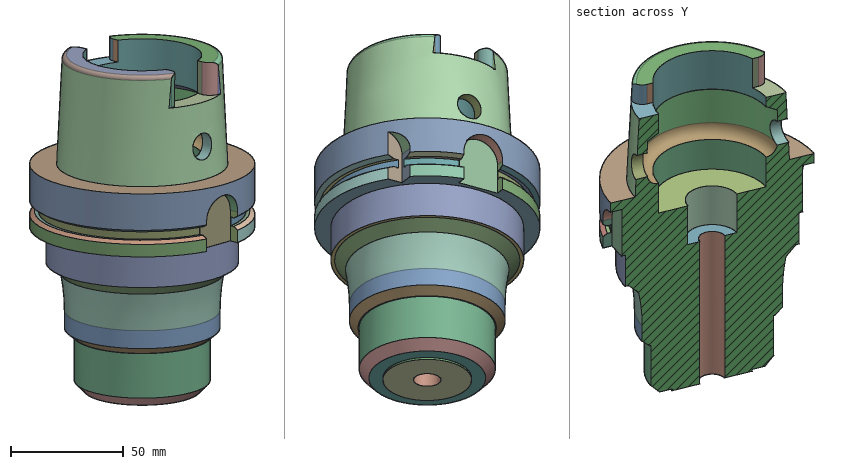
import cadquery as cq
import math

TOTAL_HEIGHT = 155.0
FLANGE_TOP = 105.0
FLANGE_BOTTOM = 76.0

TAPER_BASE_RADIUS = 38.0
TAPER_TOP_RADIUS = 35.5
RIM_FILLET = 2.0

FLANGE_DIAMETER = 100.0
FLANGE_RADIUS = FLANGE_DIAMETER / 2
GROOVE_CENTRE = 85.0
GROOVE_ROOT_RADIUS = 46.0
GROOVE_ROOT_WIDTH = 3.9
GROOVE_LIP_RADIUS = 47.7
GROOVE_LIP_ANGLE = 30.0

COLLAR_RADIUS = 42.8
COLLAR_BOTTOM = 59.8
WAIST_CONE_RADIUS = 41.0
WAIST_TOP_RADIUS = 36.3
WAIST_TOP = 55.0
WAIST_RADIUS = 34.5
WAIST_ARC_BOTTOM = 37.7
WAIST_BOTTOM = 29.5
WAIST_CHAMFER_RADIUS = 30.7
NOSE_TOP = 26.0
NOSE_RADIUS = 30.2
NOSE_CHAMFER_TOP = 5.5
NOSE_END_RADIUS = 25.9
END_RING_RADIUS = 19.7
END_RING_HEIGHT = 1.0

MOUTH_RADIUS = 26.4
MOUTH_DEPTH = 20.0
CAVITY_RADIUS = 31.8
CAVITY_CONE_ANGLE = 30.0
CAVITY_BOTTOM = 109.1
BORE_FLOOR = 93.8
COOLANT_SEAT_RADIUS = 12.0
COOLANT_SEAT_DEPTH = 20.0
THROUGH_RADIUS = 6.0

CROSS_HOLE_RADIUS = 6.0
CROSS_HOLE_HEIGHT = 120.0

NOTCH_HALF_WIDTH = 9.9
NOTCH_CORNER_RADIUS = 5.0
NOTCH_SHOULDER = 32.2
NOTCH_DEPTH_MINUS_X = 10.0
NOTCH_DEPTH_PLUS_X = 15.0

SLOT_HALF_WIDTH = 9.9
SLOT_TOP = 100.0
KEYWAY_FLOOR = 44.5
CORNER_SLOT_FLOOR = 31.6

CLEARANCE = 7.8


def turned_body():
    """Outer shape of the tool holder, turned about Z."""
    root_half = GROOVE_ROOT_WIDTH / 2
    flare = WAIST_TOP_RADIUS - WAIST_RADIUS
    flare_height = WAIST_TOP - WAIST_ARC_BOTTOM
    flare_radius = (flare**2 + flare_height**2) / (2 * flare)
    half_angle = math.asin(flare_height / flare_radius) / 2
    flare_mid = (
        WAIST_RADIUS + flare_radius * (1 - math.cos(half_angle)),
        WAIST_ARC_BOTTOM + flare_radius * math.sin(half_angle),
    )
    lip_rise = (FLANGE_RADIUS - GROOVE_LIP_RADIUS) * math.tan(math.radians(GROOVE_LIP_ANGLE))
    profile = (
        cq.Workplane("XZ")
        .moveTo(0, 0)
        .lineTo(END_RING_RADIUS, 0)
        .lineTo(END_RING_RADIUS, END_RING_HEIGHT)
        .lineTo(NOSE_END_RADIUS, END_RING_HEIGHT)
        .lineTo(NOSE_RADIUS, NOSE_CHAMFER_TOP)
        .lineTo(NOSE_RADIUS, NOSE_TOP)
        .lineTo(WAIST_CHAMFER_RADIUS, NOSE_TOP)
        .lineTo(WAIST_RADIUS, WAIST_BOTTOM)
        .lineTo(WAIST_RADIUS, WAIST_ARC_BOTTOM)
        .threePointArc(flare_mid, (WAIST_TOP_RADIUS, WAIST_TOP))
        .lineTo(WAIST_CONE_RADIUS, COLLAR_BOTTOM)
        .lineTo(COLLAR_RADIUS, COLLAR_BOTTOM)
        .lineTo(COLLAR_RADIUS, FLANGE_BOTTOM)
        .lineTo(FLANGE_RADIUS, FLANGE_BOTTOM)
        .lineTo(FLANGE_RADIUS, GROOVE_CENTRE - root_half - lip_rise)
        .lineTo(GROOVE_LIP_RADIUS, GROOVE_CENTRE - root_half)
        .lineTo(GROOVE_ROOT_RADIUS, GROOVE_CENTRE - root_half)
        .lineTo(GROOVE_ROOT_RADIUS, GROOVE_CENTRE + root_half)
        .lineTo(GROOVE_LIP_RADIUS, GROOVE_CENTRE + root_half)
        .lineTo(FLANGE_RADIUS, GROOVE_CENTRE + root_half + lip_rise)
        .lineTo(FLANGE_RADIUS, FLANGE_TOP)
        .lineTo(TAPER_BASE_RADIUS, FLANGE_TOP)
        .lineTo(TAPER_TOP_RADIUS, TOTAL_HEIGHT)
        .lineTo(0, TOTAL_HEIGHT)
        .close()
    )
    body = profile.revolve(360, (0, 0, 0), (0, 1, 0))
    return body.faces(">Z").edges().fillet(RIM_FILLET)


def bore():
    """Clamping bore with its undercut cavity, coolant seat and through hole."""
    mouth_bottom = TOTAL_HEIGHT - MOUTH_DEPTH
    undercut = CAVITY_RADIUS - MOUTH_RADIUS
    cone_height = undercut * math.tan(math.radians(CAVITY_CONE_ANGLE))
    seat_bottom = BORE_FLOOR - COOLANT_SEAT_DEPTH
    round_mid_offset = undercut * (1 - math.sqrt(0.5))
    profile = (
        cq.Workplane("XZ")
        .moveTo(0, -CLEARANCE)
        .lineTo(THROUGH_RADIUS, -CLEARANCE)
        .lineTo(THROUGH_RADIUS, seat_bottom)
        .lineTo(COOLANT_SEAT_RADIUS, seat_bottom)
        .lineTo(COOLANT_SEAT_RADIUS, BORE_FLOOR)
        .lineTo(MOUTH_RADIUS, BORE_FLOOR)
        .lineTo(MOUTH_RADIUS, CAVITY_BOTTOM)
        .threePointArc(
            (CAVITY_RADIUS - round_mid_offset, CAVITY_BOTTOM + round_mid_offset),
            (CAVITY_RADIUS, CAVITY_BOTTOM + undercut),
        )
        .lineTo(CAVITY_RADIUS, mouth_bottom - cone_height)
        .lineTo(MOUTH_RADIUS, mouth_bottom)
        .lineTo(MOUTH_RADIUS, TOTAL_HEIGHT + CLEARANCE)
        .lineTo(0, TOTAL_HEIGHT + CLEARANCE)
        .close()
    )
    return profile.revolve(360, (0, 0, 0), (0, 1, 0))


def cross_hole():
    """Hole along X through both walls of the taper."""
    return (
        cq.Workplane("YZ")
        .center(0, CROSS_HOLE_HEIGHT)
        .circle(CROSS_HOLE_RADIUS)
        .extrude(FLANGE_RADIUS, both=True)
    )


def drive_notch(side, depth):
    """Notch in the rim on the +X (side=1) or -X (side=-1) wall, rounded at its outer corners."""
    corner_mid_offset = NOTCH_CORNER_RADIUS * math.sqrt(0.5)
    corner_x = NOTCH_SHOULDER - NOTCH_CORNER_RADIUS
    corner_y = NOTCH_HALF_WIDTH + NOTCH_CORNER_RADIUS
    mid_x = corner_x + corner_mid_offset
    mid_y = corner_y - corner_mid_offset
    outer_x = FLANGE_RADIUS
    outer_y = corner_y + CLEARANCE
    return (
        cq.Workplane("XY", origin=(0, 0, TOTAL_HEIGHT - depth))
        .moveTo(0, -NOTCH_HALF_WIDTH)
        .lineTo(side * corner_x, -NOTCH_HALF_WIDTH)
        .threePointArc((side * mid_x, -mid_y), (side * NOTCH_SHOULDER, -corner_y))
        .lineTo(side * NOTCH_SHOULDER, -outer_y)
        .lineTo(side * outer_x, -outer_y)
        .lineTo(side * outer_x, outer_y)
        .lineTo(side * NOTCH_SHOULDER, outer_y)
        .lineTo(side * NOTCH_SHOULDER, corner_y)
        .threePointArc((side * mid_x, mid_y), (side * corner_x, NOTCH_HALF_WIDTH))
        .lineTo(0, NOTCH_HALF_WIDTH)
        .close()
        .extrude(depth + CLEARANCE)
    )


def flange_slot(side, centre_y, floor):
    """Slot milled along X into the flange, open below and round on top."""
    arc_centre = SLOT_TOP - SLOT_HALF_WIDTH
    return (
        cq.Workplane("YZ", origin=(side * floor, 0, 0))
        .moveTo(centre_y - SLOT_HALF_WIDTH, FLANGE_BOTTOM)
        .lineTo(centre_y + SLOT_HALF_WIDTH, FLANGE_BOTTOM)
        .lineTo(centre_y + SLOT_HALF_WIDTH, arc_centre)
        .threePointArc((centre_y, SLOT_TOP), (centre_y - SLOT_HALF_WIDTH, arc_centre))
        .close()
        .extrude(side * FLANGE_RADIUS)
    )


result = turned_body().cut(bore()).cut(cross_hole())

for side, depth in ((-1, NOTCH_DEPTH_MINUS_X), (1, NOTCH_DEPTH_PLUS_X)):
    result = result.cut(drive_notch(side, depth))
    result = result.cut(flange_slot(side, 0, KEYWAY_FLOOR))

result = result.cut(flange_slot(-1, CORNER_SLOT_FLOOR + SLOT_HALF_WIDTH, CORNER_SLOT_FLOOR))